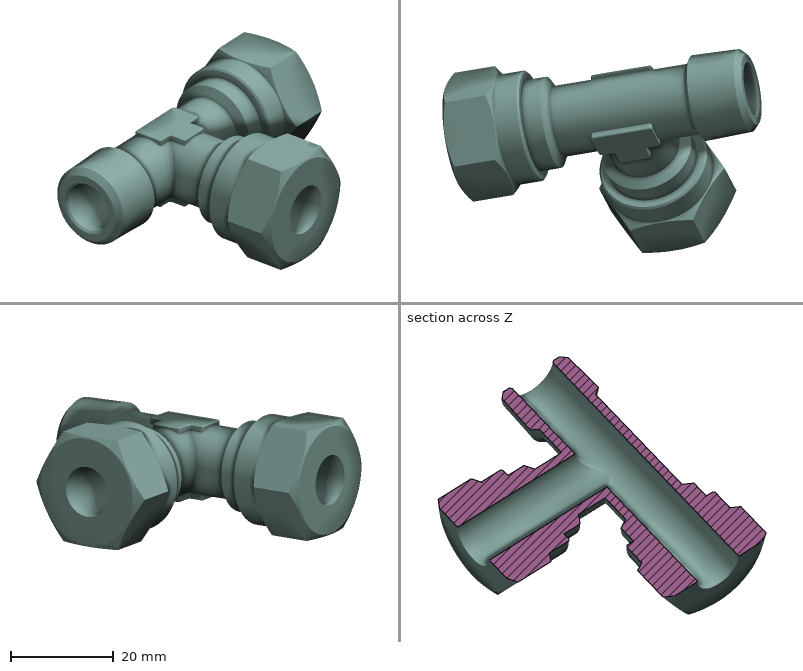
import cadquery as cq
import math


tube_radius = 6.95
bore_radius = 5.0
crotch_fillet = 0.3

nut_end = 34.0
nut_across_flats = 22.0
hex_length = 10.5
hex_chamfer_angle = 30.0
hex_face_radius = 10.7
collar_radius = 10.9
collar_length = 5.0
collar_chamfer = 0.35
sleeve_radius = 9.0
sleeve_length = 3.9
sleeve_cone_angle = 60.0
hex_back = nut_end - hex_length
collar_back = hex_back - collar_length
sleeve_back = collar_back - sleeve_length

male_end = 25.55
male_large_radius = 8.45
male_taper_length = 9.4
male_taper = 1 / 16
male_tip_chamfer = 1.2
male_neck_length = 0.95
bore_mouth_radius = 5.4

pad_height = 7.5
pad_half_width = 3.15
pad_half_length = 6.2
pad_branch_reach = 6.8
pad_corner_fillet = 0.5
pad_edge_fillet = 0.3


def turned(profile):
    """Revolve (radius, position) points about the Y axis, closing the outline on the axis."""
    outline = [(0, profile[0][1])] + profile + [(0, profile[-1][1])]
    return cq.Workplane("XY").polyline(outline).close().revolve(360, (0, 0, 0), (0, 1, 0))


def nut_leg_profile():
    """Outline of a nut leg without its hexagon, from the tube out to the back of the hexagon."""
    cone_length = (sleeve_radius - tube_radius) / math.tan(math.radians(sleeve_cone_angle))
    return [
        (tube_radius, sleeve_back - cone_length),
        (sleeve_radius, sleeve_back),
        (sleeve_radius, collar_back),
        (collar_radius - collar_chamfer, collar_back),
        (collar_radius, collar_back + collar_chamfer),
        (collar_radius, hex_back),
    ]


def male_profile():
    """Outline of the tapered thread blank, from its tip up to the tube."""
    small_position = -male_end + male_tip_chamfer
    large_position = small_position + male_taper_length
    small_radius = male_large_radius - male_taper_length * male_taper / 2
    return [
        (small_radius - male_tip_chamfer, -male_end),
        (small_radius, small_position),
        (male_large_radius, large_position),
        (tube_radius, large_position + male_neck_length),
    ]


def hexagon():
    """Hexagon of the +Y nut, with the corners chamfered at both ends."""
    corner_radius = nut_across_flats / 2 / math.cos(math.pi / 6)
    chamfer_length = (corner_radius - hex_face_radius) * math.tan(math.radians(hex_chamfer_angle))
    prism = (
        cq.Workplane("XZ", origin=(0, nut_end, 0))
        .polygon(6, 2 * corner_radius)
        .extrude(hex_length)
    )
    chamfered_blank = turned([
        (hex_face_radius, hex_back),
        (corner_radius, hex_back + chamfer_length),
        (corner_radius, nut_end - chamfer_length),
        (hex_face_radius, nut_end),
    ])
    return prism.intersect(chamfered_blank)


def to_branch(solid):
    """Turn a solid lying along +Y onto the branch axis, +X."""
    return solid.rotate((0, 0, 0), (0, 0, 1), -90)


def tee_body():
    """Run and branch joined, with the mitre between them rounded."""
    run = turned(male_profile() + nut_leg_profile())
    branch = to_branch(turned([(tube_radius, 0)] + nut_leg_profile()))
    return run.union(branch).edges("%ELLIPSE").fillet(crotch_fillet)


def pad():
    """T-shaped pad rising from the axis plane to its flat top."""
    half_outline = [
        (-pad_half_width, pad_half_length),
        (pad_half_width, pad_half_length),
        (pad_half_width, pad_half_width),
        (pad_branch_reach, pad_half_width),
    ]
    mirrored = [(x, -y) for x, y in reversed(half_outline)]
    return (
        cq.Workplane("XY")
        .polyline(half_outline + mirrored)
        .close()
        .extrude(pad_height)
        .edges("|Z")
        .fillet(pad_corner_fillet)
        .faces(">Z")
        .edges()
        .fillet(pad_edge_fillet)
    )


def bores():
    """Run bore with a flared mouth at the male end, and the branch bore meeting it."""
    mouth_depth = bore_mouth_radius - bore_radius
    run = turned([
        (bore_mouth_radius, -male_end),
        (bore_radius, -male_end + mouth_depth),
        (bore_radius, nut_end),
    ])
    branch = cq.Workplane("YZ").circle(bore_radius).extrude(nut_end)
    return run.union(branch)


top_pad = pad()
result = (
    tee_body()
    .union(hexagon())
    .union(to_branch(hexagon()))
    .union(top_pad)
    .union(top_pad.mirror("XY"))
    .cut(bores())
)